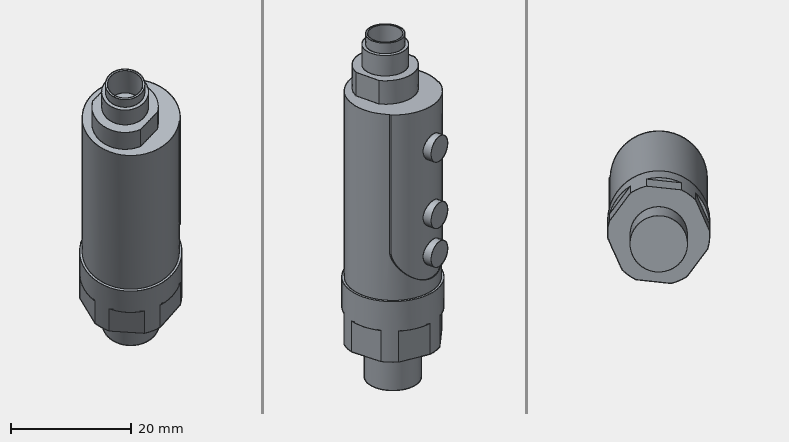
import cadquery as cq

stem_top = 7.55
flats_top = 13.45
collar_top = 19.1
body_top = 54.6
nut_top = 59.1
shoulder_top = 63.0
overall_height = 65.0

stem_diameter = 9.55
collar_diameter = 17.0
body_diameter = 16.2
wrench_size = 16.0
wrench_flat_count = 6
wrench_turn = 2.4

connector_y = -1.55
nut_diameter = 11.05
nut_across_flats = 10.0
shoulder_diameter = 7.8
tip_diameter = 6.55
bore_diameter = 5.85

pad_width = 13.8
pad_bottom = 21.7
pad_radius = 8.25
button_diameter = 4.75
button_heights = (26.6, 34.0, 46.7)
button_tip_y = 9.55


def cylinder(diameter, bottom, top, center_y=0):
    """Upright cylinder between two levels."""
    base = cq.Workplane("XY", origin=(0, center_y, bottom))
    return base.circle(diameter / 2).extrude(top - bottom)


def make_collar():
    """Round collar with wrench flats around its lower part."""
    collar = cylinder(collar_diameter, stem_top, collar_top)
    wrench_prism = (
        cq.Workplane("XY", origin=(0, 0, stem_top))
        .polygon(wrench_flat_count, wrench_size, circumscribed=True)
        .extrude(flats_top - stem_top)
        .rotate((0, 0, 0), (0, 0, 1), wrench_turn)
    )
    round_part = cylinder(collar_diameter, flats_top, collar_top)
    return collar.intersect(wrench_prism.union(round_part))


def make_pad():
    """Thin pad wrapped around the +Y side of the body, cut to a rounded lower end."""
    half_width = pad_width / 2
    section = cylinder(2 * pad_radius, pad_bottom, body_top)
    arc_center_z = pad_bottom + half_width
    outline = (
        cq.Workplane("XZ")
        .moveTo(-half_width, body_top)
        .lineTo(-half_width, arc_center_z)
        .threePointArc((0, pad_bottom), (half_width, arc_center_z))
        .lineTo(half_width, body_top)
        .close()
        .extrude(-button_tip_y)
    )
    return section.intersect(outline)


def make_button(height):
    """Round button reaching from inside the body out through the pad."""
    base = cq.Workplane("XZ", origin=(0, 0, height))
    return base.circle(button_diameter / 2).extrude(-button_tip_y)


def make_connector():
    """Stepped connector with two wrench flats on its nut and a bore in its tip."""
    nut = cylinder(nut_diameter, body_top, nut_top, connector_y)
    flats = (
        cq.Workplane("XY", origin=(0, connector_y, body_top))
        .rect(nut_across_flats, nut_diameter)
        .extrude(nut_top - body_top)
    )
    shoulder = cylinder(shoulder_diameter, nut_top, shoulder_top, connector_y)
    tip = cylinder(tip_diameter, shoulder_top, overall_height, connector_y)
    bore = cylinder(bore_diameter, nut_top, overall_height, connector_y)
    return nut.intersect(flats).union(shoulder).union(tip).cut(bore)


result = cylinder(stem_diameter, 0, stem_top)
result = result.union(make_collar())
result = result.union(cylinder(body_diameter, collar_top, body_top))
result = result.union(make_pad())
for button_height in button_heights:
    result = result.union(make_button(button_height))
result = result.union(make_connector())